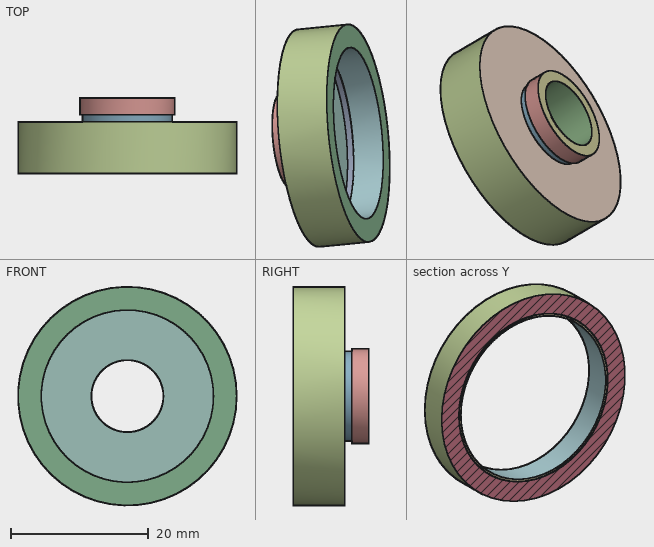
import cadquery as cq

disc_diameter = 31.75
disc_width = 7.5
recess_diameter = 25.0
recess_depth = 5.5
undercut_diameter = 25.65
undercut_width = 1.02
bore_diameter = 10.4
neck_diameter = 13.05
neck_length = 1.02
collar_diameter = 13.78
collar_length = 2.48

total_length = disc_width + neck_length + collar_length


def cylinder_along_y(diameter, start, length):
    """Solid cylinder on the Y axis, from y = start towards +Y."""
    base = cq.Workplane("XZ", origin=(0, start, 0))
    return base.circle(diameter / 2).extrude(-length)


disc = cylinder_along_y(disc_diameter, 0, disc_width)
neck = cylinder_along_y(neck_diameter, disc_width, neck_length)
collar = cylinder_along_y(collar_diameter, disc_width + neck_length, collar_length)

recess = cylinder_along_y(recess_diameter, 0, recess_depth)
undercut = cylinder_along_y(undercut_diameter, recess_depth - undercut_width, undercut_width)
bore = cylinder_along_y(bore_diameter, 0, total_length)

result = disc.union(neck).union(collar).cut(recess).cut(undercut).cut(bore)